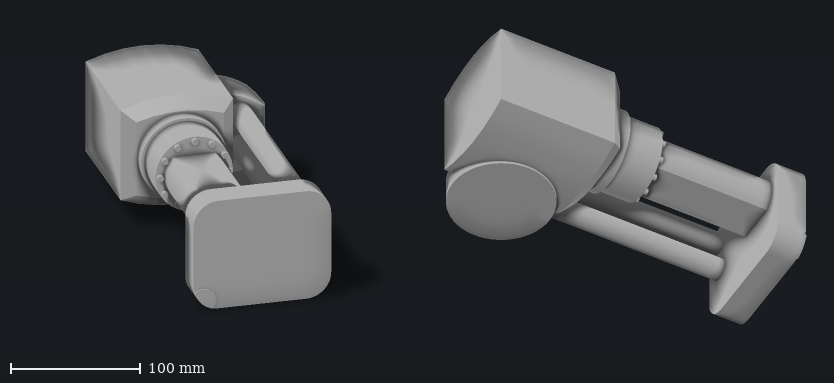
import cadquery as cq
import math


overall_length = 275.0
overall_height = 106.0

housing_length = 100.0
housing_width = 90.0
housing_height = 91.8
housing_bulge_radius = 125.0
nose_chamfer = 10.0

flange_diameter = 68.2
flange_length = 10.2
barrel_diameter = 62.0
barrel_length = 30.0

bolt_count = 12
bolt_circle_radius = 27.5
bolt_diameter = 5.0
bolt_head_height = 3.3

ram_width = 48.5
ram_flat_width = 33.8
ram_height = 31.5

plate_thickness = 24.0
plate_width = 110.0
plate_height = 90.0
plate_corner_radius = 20.0
plate_center_y = 20.0
spot_height = 1.0
spot_radius = 10.0
spot_inset = 7.7

disc_radius = 42.5
disc_thickness = 21.0
disc_bottom_drop = 2.2
disc_center_x = 50.0

block_width = 40.2
block_end_radius = 29.0
block_back_reach = 38.5
block_crown_radius = 64.5
block_crown_center_y = 36.8
block_crown_top_z = 29.5

rod_diameter = 18.2
rod_y = 58.8
rod_heights = (11.0, -16.0)

nose_end = housing_length + nose_chamfer
flange_end = nose_end + flange_length
barrel_end = flange_end + barrel_length
plate_back = overall_length - spot_height
plate_front = plate_back - plate_thickness
plate_bottom_z = housing_height / 2 - overall_height
housing_back_y = housing_width / 2
disc_bottom_z = -housing_height / 2 - disc_bottom_drop
disc_top_z = disc_bottom_z + disc_thickness


def plane_at(x):
    """Plane facing +X whose local axes are the part's Y and Z."""
    return cq.Workplane(cq.Plane(origin=(x, 0, 0), xDir=(0, 1, 0), normal=(1, 0, 0)))


def cylinder_x(start, end, diameter, y=0.0, z=0.0):
    """Cylinder along X between two X places."""
    return plane_at(start).center(y, z).circle(diameter / 2).extrude(end - start)


def make_housing():
    half_width = housing_width / 2
    half_height = housing_height / 2
    bulge = housing_bulge_radius - math.sqrt(housing_bulge_radius**2 - half_width**2)
    edge_z = half_height - bulge
    body = (
        plane_at(0)
        .moveTo(-half_width, -edge_z)
        .threePointArc((0, -half_height), (half_width, -edge_z))
        .lineTo(half_width, edge_z)
        .threePointArc((0, half_height), (-half_width, edge_z))
        .close()
        .extrude(nose_end)
    )
    return body.faces(">X").chamfer(nose_chamfer)


def make_neck():
    flange = cylinder_x(nose_end, flange_end, flange_diameter)
    barrel = cylinder_x(flange_end, barrel_end, barrel_diameter)
    return flange.union(barrel)


def make_bolts():
    return (
        plane_at(barrel_end)
        .polarArray(bolt_circle_radius, 0, 360, bolt_count)
        .circle(bolt_diameter / 2)
        .extrude(bolt_head_height)
    )


def make_ram():
    half_flat = ram_flat_width / 2
    half_width = ram_width / 2
    half_height = ram_height / 2
    return (
        plane_at(barrel_end)
        .moveTo(-half_flat, -half_height)
        .lineTo(half_flat, -half_height)
        .threePointArc((half_width, 0), (half_flat, half_height))
        .lineTo(-half_flat, half_height)
        .threePointArc((-half_width, 0), (-half_flat, -half_height))
        .close()
        .extrude(plate_front - barrel_end)
    )


def plate_slab(start, end):
    """Slab with the rounded outline of the end plate."""
    return (
        plane_at(start)
        .center(plate_center_y, plate_bottom_z + plate_height / 2)
        .rect(plate_width, plate_height)
        .extrude(end - start)
        .edges("|X")
        .fillet(plate_corner_radius)
    )


def make_end_plate():
    spot_y = plate_center_y - plate_width / 2 + spot_inset
    spot_z = plate_bottom_z + spot_inset
    spot = cylinder_x(plate_back, overall_length, 2 * spot_radius, spot_y, spot_z)
    trimmed_spot = spot.intersect(plate_slab(plate_back, overall_length))
    return plate_slab(plate_front, plate_back).union(trimmed_spot)


def make_disc():
    return (
        cq.Workplane("XY", origin=(disc_center_x, housing_back_y, disc_bottom_z))
        .circle(disc_radius)
        .extrude(disc_thickness)
    )


def make_block():
    """Column with a rounded back, topped by a crown that is curved about X."""
    half_width = block_width / 2
    back_y = housing_back_y + block_back_reach
    round_drop = block_end_radius - math.sqrt(block_end_radius**2 - half_width**2)
    column = (
        cq.Workplane("XY", origin=(disc_center_x, 0, disc_top_z))
        .moveTo(-half_width, housing_back_y)
        .lineTo(half_width, housing_back_y)
        .lineTo(half_width, back_y - round_drop)
        .threePointArc((0, back_y), (-half_width, back_y - round_drop))
        .close()
        .extrude(block_crown_top_z - disc_top_z)
    )
    crown = cylinder_x(
        disc_center_x - half_width,
        disc_center_x + half_width,
        2 * block_crown_radius,
        block_crown_center_y,
        block_crown_top_z - block_crown_radius,
    )
    return column.intersect(crown)


def make_rods():
    rods = cq.Workplane()
    for z in rod_heights:
        rods = rods.add(cylinder_x(disc_center_x, plate_front, rod_diameter, rod_y, z))
    return rods.combine()


result = (
    make_housing()
    .union(make_neck())
    .union(make_bolts())
    .union(make_ram())
    .union(make_end_plate())
    .union(make_disc())
    .union(make_block())
    .union(make_rods())
)